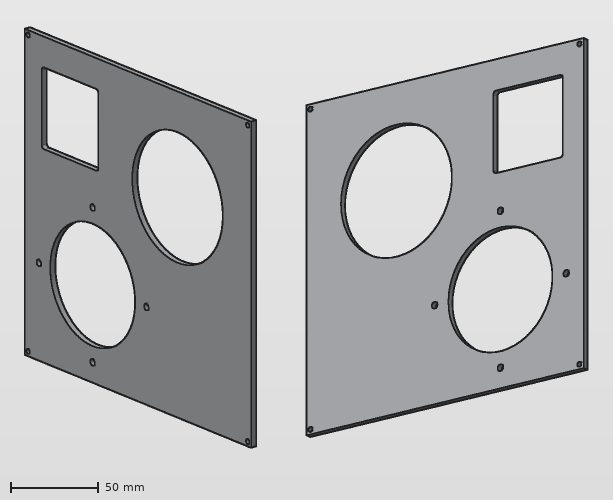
import cadquery as cq

panel_side = 200
panel_thickness = 4

corner_hole_diameter = 3.0
corner_hole_inset = 3.0
corner_hole_spacing = panel_side - 2 * corner_hole_inset

plain_opening_diameter = 80
plain_opening_center = (35.0, 35.0)

mounted_opening_diameter = 75.0
mounted_opening_center = (-40, -40)
mounting_hole_diameter = 4
mounting_circle_diameter = 95.0
mounting_hole_count = 4

window_side = 50
window_center = (-60, 56)
window_corner_radius = 2


def cutter_sketch():
    """Sketch plane on the panel's front face, with +X right and +Z up."""
    return cq.Workplane("XZ", origin=(0, -panel_thickness / 2, 0))


def round_cutter(center, diameter):
    return cutter_sketch().center(*center).circle(diameter / 2).extrude(-panel_thickness)


panel = cq.Workplane("XY").box(panel_side, panel_thickness, panel_side)

corner_holes = (
    cutter_sketch()
    .rect(corner_hole_spacing, corner_hole_spacing, forConstruction=True)
    .vertices()
    .circle(corner_hole_diameter / 2)
    .extrude(-panel_thickness)
)

mounting_holes = (
    cutter_sketch()
    .center(*mounted_opening_center)
    .polarArray(mounting_circle_diameter / 2, 0, 360, mounting_hole_count)
    .circle(mounting_hole_diameter / 2)
    .extrude(-panel_thickness)
)

window = (
    cutter_sketch()
    .center(*window_center)
    .rect(window_side, window_side)
    .extrude(-panel_thickness)
    .edges("|Y")
    .fillet(window_corner_radius)
)

result = (
    panel.cut(corner_holes)
    .cut(round_cutter(plain_opening_center, plain_opening_diameter))
    .cut(round_cutter(mounted_opening_center, mounted_opening_diameter))
    .cut(mounting_holes)
    .cut(window)
)